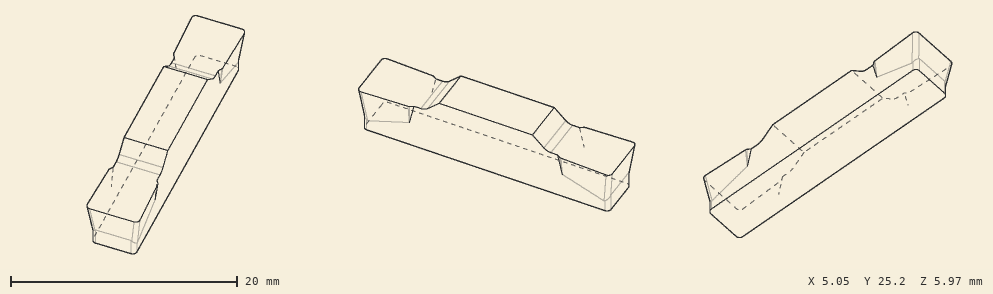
import cadquery as cq
import math

length = 25.2
head_width = 5.05
height = 5.97

body_half_width = 2.1
body_half_length = 12.25
shelf_height = 4.64
hump_half_length = 4.64
ramp_angle = math.radians(43)
ramp_foot_radius = 1.0
corner_radius = 0.4

relief_slope = math.tan(math.radians(6.9))
head_depth = 3.78
head_length = 5.0
root_half_width = 2.35
root_radius = 0.28
round_end_radius = 0.013
slant_length = 0.75
shoulder_angle = math.radians(33)

tip_y = length / 2
root_y = tip_y - head_length


def make_body():
    ramp_foot_y = hump_half_length + (height - shelf_height) / math.tan(ramp_angle)
    profile = [
        (-body_half_length, 0),
        (body_half_length, 0),
        (body_half_length, shelf_height),
        (ramp_foot_y, shelf_height),
        (hump_half_length, height),
        (-hump_half_length, height),
        (-ramp_foot_y, shelf_height),
        (-body_half_length, shelf_height),
    ]
    body = cq.Workplane("YZ").polyline(profile).close().extrude(body_half_width, both=True)
    body = body.edges("|Z").fillet(corner_radius)
    for foot_y in (-ramp_foot_y, ramp_foot_y):
        foot = cq.selectors.NearestToPointSelector((0, foot_y, shelf_height))
        body = body.edges(foot).fillet(ramp_foot_radius)
    return body


def loft_down(top_points, bottom_points, depth):
    """Straight-sided solid from the shelf height down to a second outline."""
    return (
        cq.Workplane("XY", origin=(0, 0, shelf_height))
        .polyline(top_points).close()
        .workplane(offset=-depth)
        .polyline(bottom_points).close()
        .loft(ruled=True)
    )


def trapezoid(half_width_1, y_1, half_width_2, y_2):
    """Corners of an outline symmetric about X = 0."""
    return [(-half_width_1, y_1), (half_width_1, y_1), (half_width_2, y_2), (-half_width_2, y_2)]


def make_blade():
    """Flared end with relieved flanks and tip, and rounded tip corners."""
    flare = (head_width / 2 - root_half_width) / (head_length - corner_radius)
    tip_half_width = root_half_width + flare * head_length
    inset = head_depth * relief_slope
    top = trapezoid(root_half_width, root_y, tip_half_width, tip_y)
    bottom = trapezoid(root_half_width - inset, root_y, tip_half_width - inset, tip_y - inset)
    blade = loft_down(top, bottom, head_depth)
    return blade.faces(">Y").edges("not |X").fillet(corner_radius)


def shoulder_outline(plan, radius):
    """Draw a shoulder section: rounded corners behind the root, then slants running into the body."""

    def on_round(angle):
        return (
            root_half_width - root_radius + radius * math.cos(angle),
            root_y - radius * math.sin(angle),
        )

    middle_x, middle_y = on_round(shoulder_angle / 2)
    slant_x, slant_y = on_round(shoulder_angle)
    inner_x = slant_x - slant_length * math.sin(shoulder_angle)
    inner_y = slant_y - slant_length * math.cos(shoulder_angle)
    flank_x, flank_y = on_round(0)
    return (
        plan.moveTo(flank_x, flank_y)
        .threePointArc((middle_x, middle_y), (slant_x, slant_y))
        .lineTo(inner_x, inner_y)
        .lineTo(-inner_x, inner_y)
        .lineTo(-slant_x, slant_y)
        .threePointArc((-middle_x, middle_y), (-flank_x, flank_y))
        .close()
    )


def make_shoulder():
    """Transition from the flanks to the body, its round shrinking downwards like a cone."""
    depth = (root_radius - round_end_radius) / relief_slope
    plan = cq.Workplane("XY", origin=(0, 0, shelf_height))
    top = shoulder_outline(plan, root_radius)
    return shoulder_outline(top.workplane(offset=-depth), round_end_radius).loft(ruled=True)


head = make_blade().union(make_shoulder())
result = make_body().union(head).union(head.mirror("XZ")).clean()